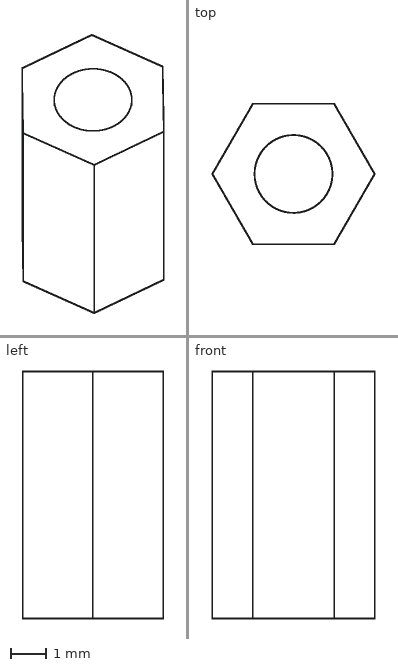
import cadquery as cq
import math

length = 7.0
across_flats = 3.98
bore_diameter = 2.2

across_corners = across_flats / math.cos(math.radians(30))

hex_body = cq.Workplane("XY").polygon(6, across_corners).extrude(length)

result = hex_body.faces(">Z").workplane().hole(bore_diameter)